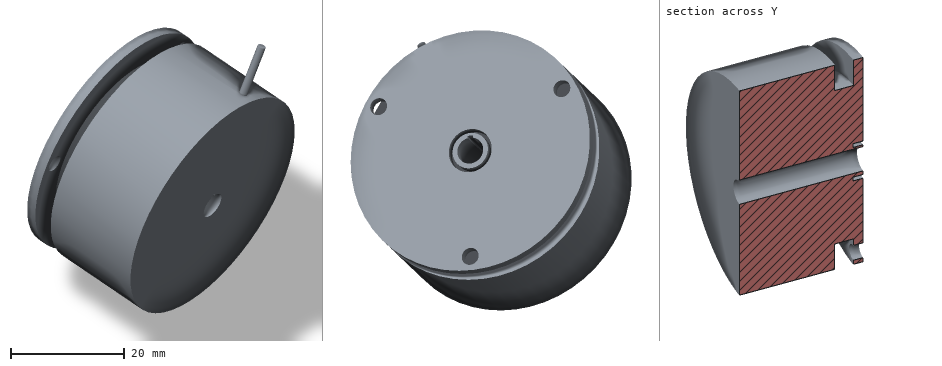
import cadquery as cq
import math

total_length = 24.15
outer_diameter = 44.45
plate_thickness = 1.9
neck_diameter = 33.45
neck_length = 3.6
body_start = plate_thickness + neck_length

bore_diameter = 4.8
keyway_width = 0.95
keyway_top = 2.8
hub_diameter = 6.55
hub_opening_diameter = 8.0

hole_count = 3
hole_diameter = 3.15
hole_circle_radius = 19.65

lead_diameter = 1.5
lead_x = 21.7
lead_tilt = 30.0
overall_height = 50.5


def disc(diameter, start, length):
    """Cylinder around the X axis."""
    return cq.Workplane("YZ", origin=(start, 0, 0)).circle(diameter / 2).extrude(length)


def make_housing():
    plate = disc(outer_diameter, 0, plate_thickness)
    neck = disc(neck_diameter, plate_thickness, neck_length)
    body = disc(outer_diameter, body_start, total_length - body_start)
    return plate.union(neck).union(body)


def make_lead():
    tilt = math.radians(lead_tilt)
    top_z = overall_height - outer_diameter / 2
    end_radius = (top_z - lead_diameter / 2 * math.sin(tilt)) / math.cos(tilt)
    start_radius = neck_diameter / 2
    lead = (
        cq.Workplane("XY", origin=(lead_x, 0, start_radius))
        .circle(lead_diameter / 2)
        .extrude(end_radius - start_radius)
    )
    return lead.rotate((0, 0, 0), (1, 0, 0), -lead_tilt)


def make_keyed_bore():
    bore = disc(bore_diameter, 0, total_length)
    keyway = cq.Workplane("XY").box(
        total_length, keyway_width, keyway_top, centered=(False, True, False)
    )
    return bore.union(keyway)


def make_hub_gap():
    opening = disc(hub_opening_diameter, 0, plate_thickness)
    return opening.cut(disc(hub_diameter, 0, plate_thickness))


def make_plate_holes():
    return (
        cq.Workplane("YZ")
        .polarArray(hole_circle_radius, -90, 360, hole_count)
        .circle(hole_diameter / 2)
        .extrude(plate_thickness)
    )


result = (
    make_housing()
    .union(make_lead())
    .cut(make_keyed_bore())
    .cut(make_hub_gap())
    .cut(make_plate_holes())
)